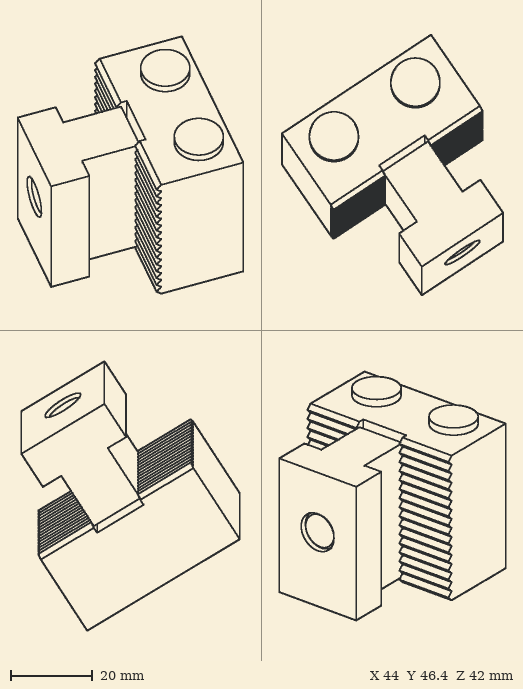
import cadquery as cq
total_depth = 46.4

block_width = 44.0
block_height = 40.0
tooth_count = 16
tooth_pitch = block_height / tooth_count
tooth_depth = tooth_pitch / 2
slot_depth = 1.5

key_length = 25.0
key_height = 37.0
neck_width = 13.4
head_width = 24.0
head_depth = 9.98
key_bottom = (block_height - key_height) / 2

pin_diameter = 12.0
pin_height = 2.0
pin_spacing = 24.0
pin_rear_offset = 8.0

screw_diameter = 9.98
screw_hole_diameter = 10.2
screw_axis_height = 22.0
screw_recess = 0.9
screw_chamfer = 0.6

root_y = key_length
tip_y = root_y - tooth_depth
slot_floor_y = root_y + slot_depth


def make_block():
    """Block with horizontal teeth along its front and a vertical slot for the key."""
    profile = [(total_depth, 0), (root_y, 0)]
    for tooth in range(tooth_count):
        profile.append((tip_y, (tooth + 0.5) * tooth_pitch))
        profile.append((root_y, (tooth + 1) * tooth_pitch))
    profile.append((total_depth, block_height))
    block = cq.Workplane("YZ").polyline(profile).close().extrude(block_width / 2, both=True)
    slot = cq.Workplane("XY").box(
        neck_width, slot_floor_y - tip_y, block_height, centered=(True, False, False)
    ).translate((0, tip_y, 0))
    return block.cut(slot)


def screw_cylinder(diameter, front_y, rear_y):
    """Cylinder on the screw axis between two depths."""
    return (
        cq.Workplane("XZ", origin=(0, front_y, screw_axis_height))
        .circle(diameter / 2)
        .extrude(front_y - rear_y)
    )


def make_key():
    """T-shaped key with a through hole for the screw."""
    head = cq.Workplane("XY").box(
        head_width, head_depth, key_height, centered=(True, False, False)
    )
    neck = cq.Workplane("XY").box(
        neck_width, key_length, key_height, centered=(True, False, False)
    )
    key = head.union(neck).translate((0, 0, key_bottom))
    return key.cut(screw_cylinder(screw_hole_diameter, 0, key_length))


def make_screw():
    """Screw bearing on the slot floor, its chamfered end recessed in the key."""
    shank = screw_cylinder(screw_diameter, screw_recess, slot_floor_y)
    return shank.faces("<Y").chamfer(screw_chamfer)


def make_pin(x):
    """Round pin standing on the top face of the block."""
    return (
        cq.Workplane("XY", origin=(x, total_depth - pin_rear_offset, block_height))
        .circle(pin_diameter / 2)
        .extrude(pin_height)
    )


block = make_block()
key = make_key()
screw = make_screw()
pins = [make_pin(side * pin_spacing / 2) for side in (-1, 1)]

result = cq.Compound.makeCompound(
    [block.val(), key.val(), screw.val(), *[pin.val() for pin in pins]]
)